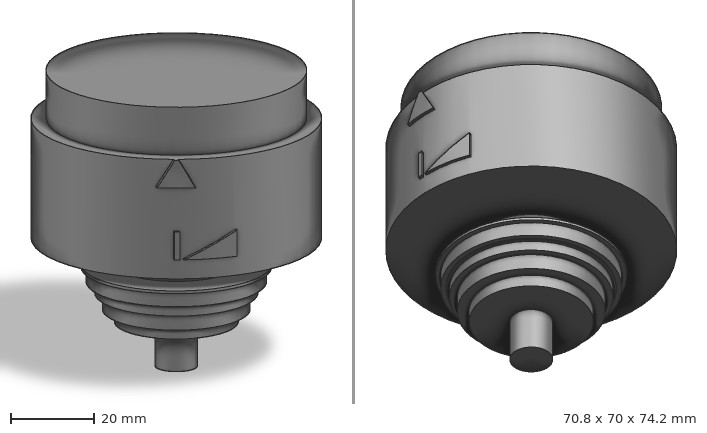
import cadquery as cq


lens_diameter = 62.8
lens_height = 12.0
housing_diameter = 70.0
housing_height = 30.0
neck_diameter = 29.85
neck_length = 21.1
cable_diameter = 10.3
cable_length = 11.1

ring_gap = 6.6
ring_bore_diameter = 30.02
ring_steps = [
    (46.02, 0.7),
    (43.54, 3.7),
    (41.0, 0.3),
    (39.34, 2.6),
    (35.61, 4.1),
]

mark_relief = 0.8
mark_height = 7.0

arrow_center_y = -13.9
arrow_base_width = 8.6
arrow_tip_width = 1.0

lower_mark_z = 5.0
bar_left_y = -14.4
bar_width = 1.2
wedge_left_y = -12.3
wedge_right_y = 0.65
wedge_height = 6.6


def cylinder(diameter, base_z, height):
    """Cylinder on the Z axis; a negative height builds downward."""
    return cq.Workplane("XY").workplane(offset=base_z).circle(diameter / 2).extrude(height)


def raised_mark(outline):
    """Extrude a (y, z) outline along +X and trim it to the curved relief surface."""
    reach = housing_diameter / 2 + mark_relief
    prism = cq.Workplane("YZ").polyline(outline).close().extrude(reach)
    relief_limit = cylinder(2 * reach, 0, housing_height)
    return prism.intersect(relief_limit)


def arrow_outline():
    """Upright arrow hanging from the drum's rim."""
    bottom = housing_height - mark_height
    return [
        (arrow_center_y - arrow_base_width / 2, bottom),
        (arrow_center_y + arrow_base_width / 2, bottom),
        (arrow_center_y + arrow_tip_width / 2, housing_height),
        (arrow_center_y - arrow_tip_width / 2, housing_height),
    ]


def bar_outline():
    """Upright bar below the arrow."""
    bar_right_y = bar_left_y + bar_width
    bar_top = lower_mark_z + mark_height
    return [
        (bar_left_y, lower_mark_z),
        (bar_right_y, lower_mark_z),
        (bar_right_y, bar_top),
        (bar_left_y, bar_top),
    ]


def wedge_outline():
    """Right triangle beside the bar, rising away from it."""
    return [
        (wedge_left_y, lower_mark_z),
        (wedge_right_y, lower_mark_z),
        (wedge_right_y, lower_mark_z + wedge_height),
    ]


def build_housing():
    """Drum with the lens on top, the neck and cable below, and the raised marks."""
    body = cylinder(housing_diameter, 0, housing_height)
    body = body.union(cylinder(lens_diameter, housing_height, lens_height))
    body = body.union(cylinder(neck_diameter, 0, -neck_length))
    body = body.union(cylinder(cable_diameter, -neck_length, -cable_length))
    for outline in (arrow_outline(), bar_outline(), wedge_outline()):
        body = body.union(raised_mark(outline))
    return body


def build_mounting_ring():
    """Stepped ring with a clearance bore for the neck."""
    ring = cq.Workplane("XY")
    step_top = -ring_gap
    for diameter, height in ring_steps:
        ring = ring.union(cylinder(diameter, step_top, -height))
        step_top -= height
    return ring.cut(cylinder(ring_bore_diameter, 0, -neck_length))


housing = build_housing()
mounting_ring = build_mounting_ring()

result = cq.Compound.makeCompound([housing.solids().val(), mounting_ring.solids().val()])